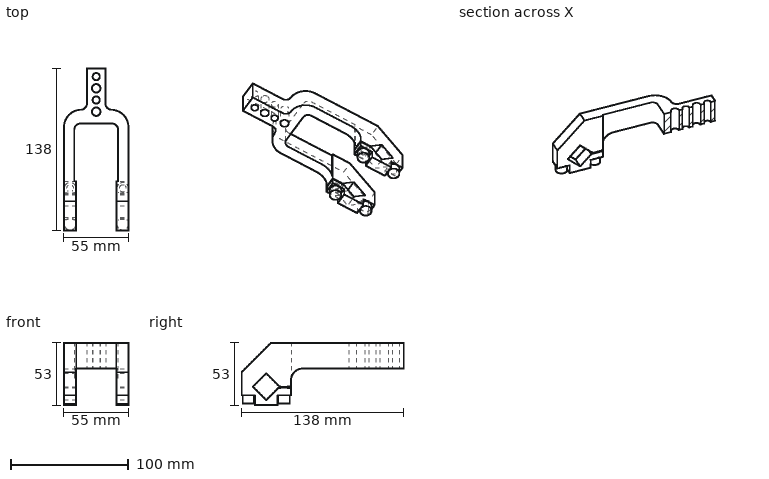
import cadquery as cq

length = 138.0
width = 55.0
height = 53.0

stem_width = 16.0
stem_length = 35.0
stem_fillet = 5.0
shoulder_radius = 15.0
crotch_offset = 47.0
crotch_radius = 5.0
gap_width = 37.0
clamp_gap_width = 34.4

bar_depth = 22.0
nose_chamfer = 25.0
clamp_length = 42.1
throat_radius = 10.0

clamp_center_y = 21.0
foot_length = 19.3
foot_height = 8.4
socket_half_diagonal = 11.3
socket_z = 15.7
slit_height = 1.1

screw_spacing = 30.4
head_diameter = 10.0
shank_diameter = 6.0
head_bottom = 1.4

small_hole = 6.0
large_hole = 7.0
first_hole_offset = 7.0
hole_pitch = 10.0

shoulder_y = length - stem_length
crotch_y = length - crotch_offset
bar_bottom = height - bar_depth
clamp_width = (width - clamp_gap_width) / 2
clamp_center_x = (width - clamp_width) / 2


def box(size_x, y_start, y_end, z_start, z_end):
    """Box centred on X = 0 between the given Y and Z limits."""
    return (
        cq.Workplane("XY")
        .box(size_x, y_end - y_start, z_end - z_start, centered=(True, False, False))
        .translate((0, y_start, z_start))
    )


def fork_plan():
    """Full-height fork outline: stem, rounded shoulders and two stepped arms."""
    body = box(width, 0, shoulder_y, 0, height)
    body = body.edges("|Z and >Y").fillet(shoulder_radius)
    body = body.union(box(stem_width, crotch_y, length, 0, height))
    stem_corner = cq.selectors.BoxSelector(
        (-stem_width, shoulder_y - stem_fillet, 0),
        (stem_width, shoulder_y + stem_fillet, height),
    )
    body = body.edges("|Z").edges(stem_corner).fillet(stem_fillet)
    gap = box(gap_width, clamp_length, crotch_y, 0, height)
    gap = gap.edges("|Z and >Y").fillet(crotch_radius)
    clamp_gap = box(clamp_gap_width, 0, clamp_length, 0, height)
    return body.cut(gap).cut(clamp_gap)


def side_profile():
    """Side outline with sloped nose, rounded throat and clamp foot."""
    foot_front = clamp_center_y - foot_length / 2
    foot_back = clamp_center_y + foot_length / 2
    return (
        cq.Workplane("YZ")
        .moveTo(nose_chamfer, height)
        .lineTo(length, height)
        .lineTo(length, bar_bottom)
        .lineTo(clamp_length + throat_radius, bar_bottom)
        .radiusArc((clamp_length, bar_bottom - throat_radius), -throat_radius)
        .lineTo(clamp_length, foot_height)
        .lineTo(foot_back, foot_height)
        .lineTo(foot_back, 0)
        .lineTo(foot_front, 0)
        .lineTo(foot_front, foot_height)
        .lineTo(0, foot_height)
        .lineTo(0, height - nose_chamfer)
        .close()
        .extrude(width / 2, both=True)
    )


def clamp_opening():
    """Diamond socket through both arms, with the slit that opens it to the throat."""
    socket = (
        cq.Workplane("YZ", origin=(0, clamp_center_y, socket_z))
        .polyline([
            (socket_half_diagonal, 0),
            (0, socket_half_diagonal),
            (-socket_half_diagonal, 0),
            (0, -socket_half_diagonal),
        ])
        .close()
        .extrude(width / 2, both=True)
    )
    slit = box(width, clamp_center_y, clamp_length, socket_z - slit_height, socket_z)
    return socket.union(slit)


def cylinder(x, y, diameter, z_start, z_end):
    """Vertical cylinder at the given position."""
    return (
        cq.Workplane("XY", origin=(x, y, z_start))
        .circle(diameter / 2)
        .extrude(z_end - z_start)
    )


def stem_holes():
    """Row of through holes along the stem."""
    holes = cq.Workplane("XY")
    for index, diameter in enumerate([small_hole, large_hole, small_hole, large_hole]):
        y = length - first_hole_offset - index * hole_pitch
        holes = holes.add(cylinder(0, y, diameter, 0, height))
    return holes.combine()


result = fork_plan().intersect(side_profile()).cut(clamp_opening()).cut(stem_holes())

front_screw_y = clamp_center_y - screw_spacing / 2
back_screw_y = clamp_center_y + screw_spacing / 2
for x in (-clamp_center_x, clamp_center_x):
    for y in (front_screw_y, back_screw_y):
        result = result.union(cylinder(x, y, head_diameter, head_bottom, foot_height))
    result = result.union(cylinder(x, back_screw_y, shank_diameter, foot_height, socket_z))